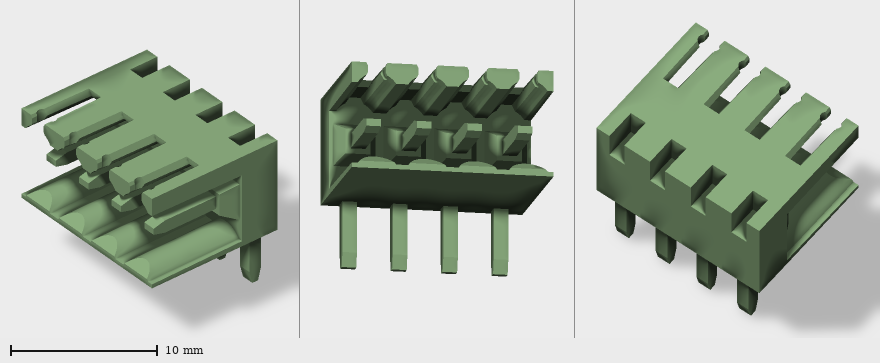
import cadquery as cq

POLES = 4
PITCH = 3.5
WIDTH = POLES * PITCH
DEPTH = 11.05
HEIGHT = 7.4
POLE_X = [PITCH * (pole + 0.5) for pole in range(POLES)]

CAVITY_DEPTH = 7.94
CAVITY_FLOOR = 0.32
ARM_THICKNESS = 1.43
CAVITY_ROOF = HEIGHT - ARM_THICKNESS
DRAFT_ANGLE = 0.75
END_OVERRUN = 0.7
WAVE_HALF = 1.33
WAVE_RISE = 0.71

RAMP_START = 0.48
RAMP_LENGTH = 1.26
RAMP_SLOPE = 0.61

SIDE_SLOPE = 1.9
NECK_COVER = 0.42
NECK_ROOF = HEIGHT - NECK_COVER
NECK_ROOF_HALF = 0.48
SLOT_TOP_HALF = 0.74
SLOT_DEPTH = 0.59
SLOT_FLOOR = HEIGHT - SLOT_DEPTH
SLOT_LENGTH = 5.04
SLOT_OVERRUN = 0.28

NOTCH_LENGTH = 1.72
NOTCH_WIDTH = 0.8
NOTCH_Y = 0.8
ENTRY_WIDTH = 1.23

BACK_SLOT_WIDTH = 1.29
BACK_SLOT_LENGTH = 2.4
BACK_SLOT_DEPTH = 2.24

BOSS_BASE = 2.95
BOSS_TIP = 1.75
BOSS_LENGTH = 1.29

PIN_SIZE = 1.01
PIN_HALF = PIN_SIZE / 2
PIN_Z = 3.5
PIN_FRONT_Y = 1.18
LEG_INSET = 0.94
LEG_Y = DEPTH - LEG_INSET
LEG_LENGTH = 4.55
TIP_LENGTH = 1.0
TIP_HALF = PIN_SIZE / 4


def front_plane():
    """Plane of the front face; local X and Y are global X and Z, extrusions run to -Y."""
    return cq.Workplane("XZ")


def cavity():
    """Drafted cavity with an arched roof scallop and an arched floor ridge at each pole."""
    outline = front_plane().moveTo(-END_OVERRUN, CAVITY_FLOOR)
    for x in POLE_X:
        outline = outline.lineTo(x - WAVE_HALF, CAVITY_FLOOR).threePointArc(
            (x, CAVITY_FLOOR + WAVE_RISE), (x + WAVE_HALF, CAVITY_FLOOR)
        )
    outline = outline.lineTo(WIDTH + END_OVERRUN, CAVITY_FLOOR)
    outline = outline.lineTo(WIDTH + END_OVERRUN, CAVITY_ROOF)
    for x in reversed(POLE_X):
        outline = outline.lineTo(x + WAVE_HALF, CAVITY_ROOF).threePointArc(
            (x, CAVITY_ROOF + WAVE_RISE), (x - WAVE_HALF, CAVITY_ROOF)
        )
    outline = outline.lineTo(-END_OVERRUN, CAVITY_ROOF).close()
    return outline.extrude(-CAVITY_DEPTH, taper=DRAFT_ANGLE)


def drafted_trapezoid(x, low_z, low_half, high_z, high_half, length):
    """Prism of symmetric trapezoid section running back from the front face."""
    return (
        front_plane()
        .polyline([
            (x - low_half, low_z),
            (x + low_half, low_z),
            (x + high_half, high_z),
            (x - high_half, high_z),
        ])
        .close()
        .extrude(-length, taper=DRAFT_ANGLE)
    )


def neck(x):
    """Groove in the cavity roof that narrows upwards."""
    base_half = NECK_ROOF_HALF + (NECK_ROOF - CAVITY_ROOF) / SIDE_SLOPE
    return drafted_trapezoid(x, CAVITY_ROOF, base_half, NECK_ROOF, NECK_ROOF_HALF, CAVITY_DEPTH)


def top_slot(x):
    """Slot that narrows downwards from the top face into the neck."""
    floor_half = SLOT_TOP_HALF - SLOT_DEPTH / SIDE_SLOPE
    mouth_half = SLOT_TOP_HALF + SLOT_OVERRUN / SIDE_SLOPE
    return drafted_trapezoid(x, SLOT_FLOOR, floor_half, HEIGHT + SLOT_OVERRUN, mouth_half, SLOT_LENGTH)


def latch_notch(x):
    """Round-ended notch across the slot, with a straight channel to the front face."""
    notch = (
        cq.Workplane("XY", origin=(x, NOTCH_Y, CAVITY_ROOF))
        .slot2D(NOTCH_LENGTH, NOTCH_WIDTH)
        .extrude(ARM_THICKNESS)
    )
    entry = cq.Workplane("XY").box(
        ENTRY_WIDTH, NOTCH_Y, ARM_THICKNESS, centered=(True, False, False)
    )
    return notch.union(entry.translate((x, 0, CAVITY_ROOF)))


def back_slot(x):
    """Blind rectangular slot in the back of the top face."""
    slot = cq.Workplane("XY").box(
        BACK_SLOT_WIDTH, BACK_SLOT_LENGTH, BACK_SLOT_DEPTH, centered=(True, False, False)
    )
    return slot.translate((x, DEPTH - BACK_SLOT_LENGTH, HEIGHT - BACK_SLOT_DEPTH))


def ridge_ramp():
    """Wedge that bevels the front ends of all the floor ridges."""
    ramp_top = RAMP_START + RAMP_LENGTH * RAMP_SLOPE
    return (
        cq.Workplane("YZ")
        .polyline([(0, RAMP_START), (RAMP_LENGTH, ramp_top), (0, ramp_top)])
        .close()
        .extrude(WIDTH)
    )


def boss(x):
    """Square frustum on the back wall of the cavity."""
    return (
        cq.Workplane("XZ", origin=(x, CAVITY_DEPTH, PIN_Z))
        .rect(BOSS_BASE, BOSS_BASE)
        .workplane(offset=BOSS_LENGTH)
        .rect(BOSS_TIP, BOSS_TIP)
        .loft(ruled=True)
    )


def make_pin(x):
    """L-shaped pin: a contact pointing forwards and a leg pointing down."""
    contact_shoulder = PIN_FRONT_Y + TIP_LENGTH
    leg_shoulder = TIP_LENGTH - LEG_LENGTH
    return (
        cq.Workplane("YZ", origin=(x - PIN_HALF, 0, 0))
        .polyline([
            (PIN_FRONT_Y, PIN_Z + TIP_HALF),
            (contact_shoulder, PIN_Z + PIN_HALF),
            (LEG_Y + PIN_HALF, PIN_Z + PIN_HALF),
            (LEG_Y + PIN_HALF, leg_shoulder),
            (LEG_Y + TIP_HALF, -LEG_LENGTH),
            (LEG_Y - TIP_HALF, -LEG_LENGTH),
            (LEG_Y - PIN_HALF, leg_shoulder),
            (LEG_Y - PIN_HALF, PIN_Z - PIN_HALF),
            (contact_shoulder, PIN_Z - PIN_HALF),
            (PIN_FRONT_Y, PIN_Z - TIP_HALF),
        ])
        .close()
        .extrude(PIN_SIZE)
    )


def make_housing(pins):
    """Housing block with all its openings and a matching channel for each pin."""
    body = cq.Workplane("XY").box(WIDTH, DEPTH, HEIGHT, centered=False)
    body = body.cut(cavity()).cut(ridge_ramp())
    for x, pin in zip(POLE_X, pins):
        body = body.cut(neck(x)).cut(top_slot(x)).cut(latch_notch(x)).cut(back_slot(x))
        body = body.union(boss(x)).cut(pin)
    return body


pins = [make_pin(x) for x in POLE_X]
housing = make_housing(pins)

result = cq.Compound.makeCompound([housing.val(), *[pin.val() for pin in pins]])